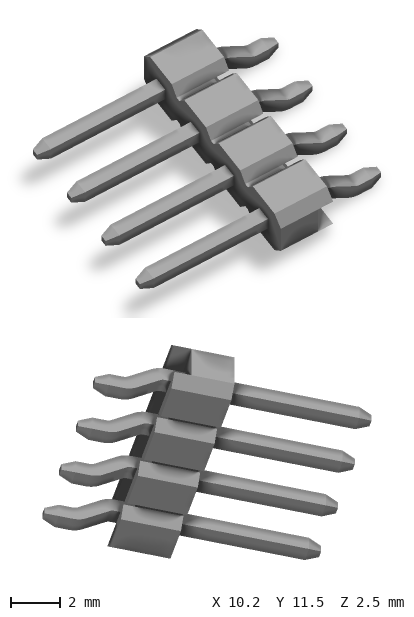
import cadquery as cq
import math


overall_length = 11.5
pin_count = 4
row_width = 10.15
pitch = row_width / pin_count

body_height = 2.5
body_depth = 2.5
top_flat_width = 1.6
notch_floor_width = 0.2
notch_depth = 0.5
recess_depth = 0.71

pin_size = 0.64
tip_size = 0.32
tip_length = 0.55
front_reach = 6.0
tail_foot_length = 0.58
bend_angle = 35.0
bend_radius = 0.67

half_height = body_height / 2
shoulder_height = half_height - notch_depth
pin_positions = [(i - (pin_count - 1) / 2) * pitch for i in range(pin_count)]


def make_body():
    """Extrude the notched outline, then slot the rear face along the whole row."""
    upper_edge = [(-row_width / 2, shoulder_height)]
    for x in pin_positions:
        upper_edge.append((x - top_flat_width / 2, half_height))
        upper_edge.append((x + top_flat_width / 2, half_height))
        if x != pin_positions[-1]:
            notch_center = x + pitch / 2
            upper_edge.append((notch_center - notch_floor_width / 2, shoulder_height))
            upper_edge.append((notch_center + notch_floor_width / 2, shoulder_height))
    upper_edge.append((row_width / 2, shoulder_height))
    lower_edge = [(x, -z) for x, z in reversed(upper_edge)]

    body = cq.Workplane("XZ").polyline(upper_edge + lower_edge).close().extrude(-body_depth)
    recess = cq.Workplane("XY").box(row_width, recess_depth, 2 * shoulder_height)
    return body.cut(recess.translate((0, body_depth - recess_depth / 2, 0)))


def make_tip(y, z, direction):
    """Square tip tapering from (y, z) towards +Y or -Y."""
    taper = math.degrees(math.atan((pin_size - tip_size) / 2 / tip_length))
    base = cq.Plane(origin=(0, y, z), xDir=(1, 0, 0), normal=(0, direction, 0))
    return cq.Workplane(base).rect(pin_size, pin_size).extrude(tip_length, taper=taper)


def make_pin():
    """Sweep a square along the stepped centreline and add a tip at each end."""
    angle = math.radians(bend_angle)
    arc_run = bend_radius * math.sin(angle)
    arc_drop = bend_radius * (1 - math.cos(angle))
    mid_run = bend_radius * math.sin(angle / 2)
    mid_drop = bend_radius * (1 - math.cos(angle / 2))

    foot_z = pin_size / 2 - half_height
    slope_run = (-foot_z - 2 * arc_drop) / math.tan(angle)

    front_y = tip_length - front_reach
    foot_end_y = overall_length - front_reach - tip_length
    lower_bend_y = foot_end_y - tail_foot_length
    upper_bend_y = lower_bend_y - 2 * arc_run - slope_run

    centreline = (
        cq.Workplane("YZ")
        .moveTo(front_y, 0)
        .lineTo(upper_bend_y, 0)
        .threePointArc((upper_bend_y + mid_run, -mid_drop), (upper_bend_y + arc_run, -arc_drop))
        .lineTo(lower_bend_y - arc_run, foot_z + arc_drop)
        .threePointArc((lower_bend_y - mid_run, foot_z + mid_drop), (lower_bend_y, foot_z))
        .lineTo(foot_end_y, foot_z)
    )
    shank = cq.Workplane("XZ", origin=(0, front_y, 0)).rect(pin_size, pin_size).sweep(centreline)
    return shank.union(make_tip(front_y, 0, -1)).union(make_tip(foot_end_y, foot_z, 1))


result = make_body()
pin = make_pin()
for x in pin_positions:
    result = result.union(pin.translate((x, 0, 0)))